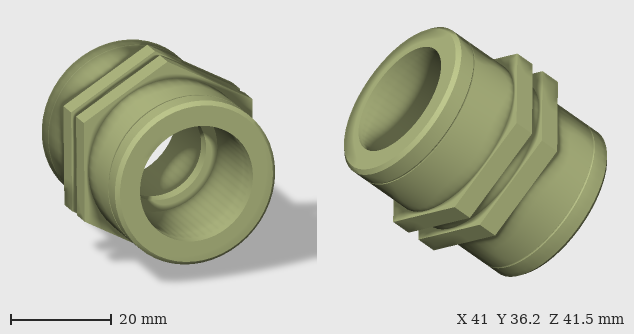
import cadquery as cq

body_length = 41.0
body_diameter = 34.2
end_chamfer = 0.8

groove_start = 4.1
groove_width = 0.4
groove_depth = 0.25
groove_slope_length = 0.25

bore_diameter = 24.1
collar_bore_diameter = 19.3

hex_corner_diameter = 41.55
hex_thickness = 4.15
hex_gap = 2.65
hex_tilt = 0.6

collar_length = hex_gap
body_radius = body_diameter / 2
half_length = body_length / 2


def cylinder(diameter, length):
    """Solid cylinder along X, centred on the origin."""
    return cq.Workplane("YZ").circle(diameter / 2).extrude(length / 2, both=True)


def make_groove():
    """Ring cut away near the -X end."""
    outer_edge = -half_length + groove_start
    inner_edge = outer_edge + groove_width
    return (
        cq.Workplane("XY")
        .moveTo(outer_edge, body_radius)
        .lineTo(outer_edge + groove_slope_length, body_radius - groove_depth)
        .lineTo(inner_edge, body_radius - groove_depth)
        .lineTo(inner_edge, body_radius)
        .close()
        .revolve(360, (0, 0, 0), (1, 0, 0))
    )


def make_flange():
    """Hexagonal flange on the +X side of the gap."""
    return (
        cq.Workplane("YZ")
        .workplane(offset=hex_gap / 2)
        .polygon(6, hex_corner_diameter)
        .extrude(hex_thickness)
        .rotate((0, 0, 0), (1, 0, 0), 90 + hex_tilt)
    )


result = cylinder(body_diameter, body_length).faces("<X or >X").chamfer(end_chamfer)
groove = make_groove()
result = result.cut(groove).cut(groove.mirror("YZ"))
flange = make_flange()
result = result.union(flange).union(flange.mirror("YZ"))

result = result.cut(cylinder(collar_bore_diameter, body_length))
bores = cylinder(bore_diameter, body_length).cut(cylinder(bore_diameter, collar_length))
result = result.cut(bores)